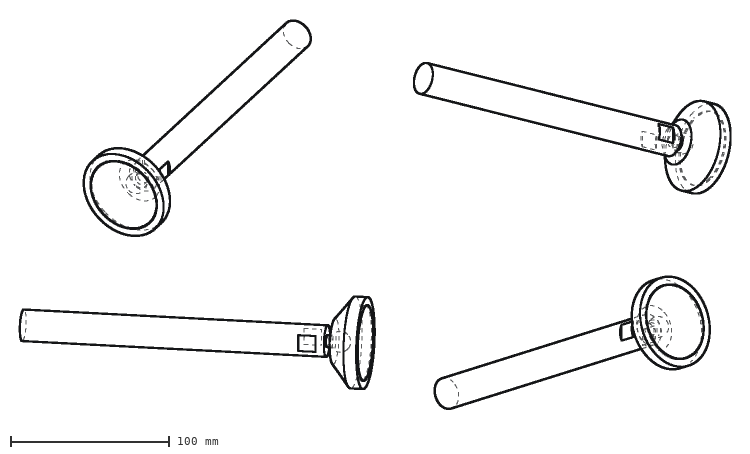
import cadquery as cq
import math


TOTAL_LENGTH = 220.0

FOOT_DIAMETER = 58.0
RIM_HEIGHT = 8.1
FOOT_HEIGHT = 20.0
FOOT_TOP_DIAMETER = 29.0
GROOVE_OUTER_DIAMETER = 48.0
GROOVE_INNER_DIAMETER = 47.5
GROOVE_DEPTH = 1.0

ROD_DIAMETER = 20.0
ROD_START = 24.6
NECK_DIAMETER = 7.7
NECK_START = 21.5
BALL_DIAMETER = 13.2

FLAT_START = 30.1
FLAT_LENGTH = 11.2
ACROSS_FLATS = 17.2

BALL_RADIUS = BALL_DIAMETER / 2
BALL_CENTER = NECK_START - math.sqrt(BALL_RADIUS**2 - (NECK_DIAMETER / 2) ** 2)


def cylinder(diameter, start, end):
    """Cylinder on the Y axis between two heights."""
    base = cq.Workplane("XZ", origin=(0, start, 0)).circle(diameter / 2)
    return base.extrude(start - end)


def make_ball():
    """Ball revolved about the Y axis."""
    half_disc = cq.Workplane("XY", origin=(0, BALL_CENTER, 0)).moveTo(0, -BALL_RADIUS)
    half_disc = half_disc.threePointArc((BALL_RADIUS, 0), (0, BALL_RADIUS)).close()
    return half_disc.revolve(360, (0, 0, 0), (0, 1, 0))


def make_wrench_flat(side):
    """Block that cuts one flat; side is +1 or -1 along X."""
    block_width = ROD_DIAMETER
    center_x = side * (ACROSS_FLATS + block_width) / 2
    center_y = FLAT_START + FLAT_LENGTH / 2
    block = cq.Workplane("XY").box(block_width, FLAT_LENGTH, ROD_DIAMETER)
    return block.translate((center_x, center_y, 0))


def make_spindle():
    rod = cylinder(ROD_DIAMETER, ROD_START, TOTAL_LENGTH)
    for side in (-1, 1):
        rod = rod.cut(make_wrench_flat(side))
    neck = cylinder(NECK_DIAMETER, BALL_CENTER, ROD_START)
    return rod.union(neck).union(make_ball())


def make_foot():
    half_profile = [
        (0, 0),
        (FOOT_DIAMETER / 2, 0),
        (FOOT_DIAMETER / 2, RIM_HEIGHT),
        (FOOT_TOP_DIAMETER / 2, FOOT_HEIGHT),
        (0, FOOT_HEIGHT),
    ]
    body = cq.Workplane("XY").polyline(half_profile).close()
    body = body.revolve(360, (0, 0, 0), (0, 1, 0))
    groove_outer = cylinder(GROOVE_OUTER_DIAMETER, 0, GROOVE_DEPTH)
    groove = groove_outer.cut(cylinder(GROOVE_INNER_DIAMETER, 0, GROOVE_DEPTH))
    return body.cut(groove).cut(make_ball())


spindle = make_spindle()
foot = make_foot()

result = cq.Compound.makeCompound([spindle.val(), foot.val()])